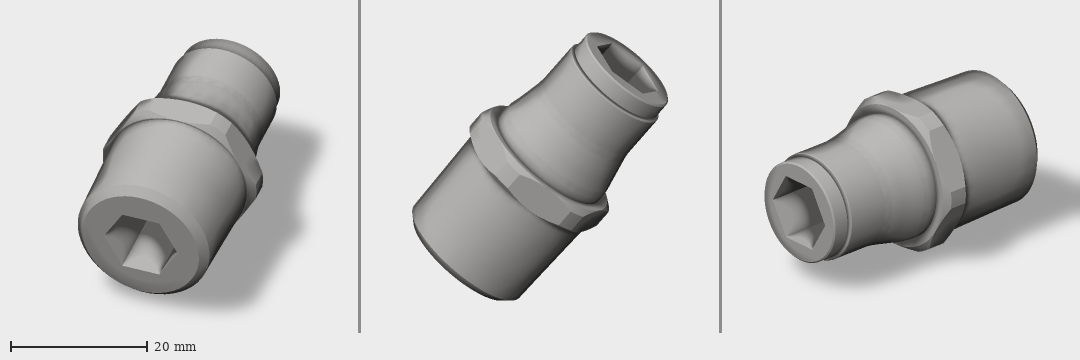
import cadquery as cq
import math

thread_chamfer = 1.2
nut_start = 16.0
nut_end = 20.48
cone_start = 22.2
cone_end = 28.75
sleeve_end = 36.08
cap_start = 36.27
total_length = 39.0

thread_nose_radius = 9.1
thread_radius = 10.3
thread_taper = 1 / 32
shoulder_radius = 9.65
sleeve_radius = 8.25
groove_radius = 7.2
cap_radius = 7.8

cone_blend = 6.4
cap_chamfer = 0.25
small_chamfer = 0.1

nut_flats = 22.0
nut_corner_radius = 11.992
nut_chamfer = 0.8
nut_face_radius = nut_flats / 2

bore_flats = 10.0


def hexagon_prism(across_flats, start, end):
    """Hexagon along +Y, with its corners on the X axis."""
    across_corners = across_flats / math.cos(math.pi / 6)
    return (
        cq.Workplane("XZ", origin=(0, start, 0))
        .polygon(6, across_corners)
        .extrude(start - end)
    )


def turned(profile):
    """Revolve (radius, y) points about the Y axis."""
    return cq.Workplane("XY").polyline(profile).close().revolve(360, (0, 0, 0), (0, 1, 0))


def ring_at(y):
    """Selector for the circular edges lying at height y."""
    reach = 2 * nut_flats
    margin = 0.05
    return cq.selectors.BoxSelector((-reach, y - margin, -reach), (reach, y + margin, reach))


def make_thread():
    end_radius = thread_radius + thread_taper * (nut_start - thread_chamfer)
    return turned([
        (0, 0),
        (thread_nose_radius, 0),
        (thread_radius, thread_chamfer),
        (end_radius, nut_start),
        (0, nut_start),
    ])


def make_nut():
    prism = hexagon_prism(nut_flats, nut_start, nut_end)
    envelope = turned([
        (0, nut_start),
        (nut_face_radius, nut_start),
        (nut_corner_radius, nut_start + nut_chamfer),
        (nut_corner_radius, nut_end - nut_chamfer),
        (nut_face_radius, nut_end),
        (0, nut_end),
    ])
    return prism.intersect(envelope)


def make_sleeve():
    body = turned([
        (0, nut_end),
        (shoulder_radius, nut_end),
        (shoulder_radius, cone_start),
        (sleeve_radius, cone_end),
        (sleeve_radius, sleeve_end),
        (0, sleeve_end),
    ])
    for y in (cone_start, cone_end):
        body = body.edges(ring_at(y)).fillet(cone_blend)
    return body.edges(">Y").chamfer(small_chamfer)


def make_cap():
    neck = turned([
        (0, sleeve_end),
        (groove_radius, sleeve_end),
        (groove_radius, cap_start),
        (0, cap_start),
    ])
    cap = turned([
        (0, cap_start),
        (cap_radius, cap_start),
        (cap_radius, total_length),
        (0, total_length),
    ])
    cap = cap.edges(">Y").chamfer(cap_chamfer).edges("<Y").chamfer(small_chamfer)
    return neck.union(cap)


outside = make_thread().union(make_nut()).union(make_sleeve()).union(make_cap())
result = outside.cut(hexagon_prism(bore_flats, 0, total_length))